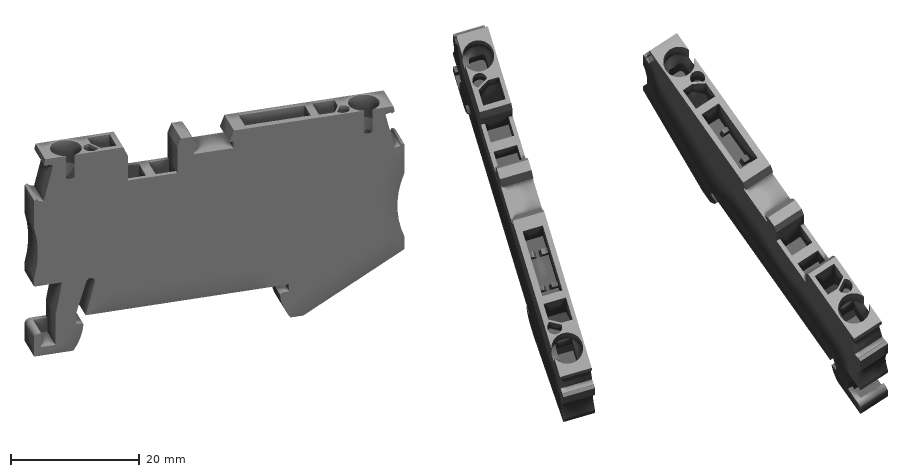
import cadquery as cq
import math

THICKNESS = 5.15
LENGTH = 60.4
HEIGHT = 35.25
HALF_X = THICKNESS / 2
END_Y = LENGTH / 2

END_PROFILE = [
    (28.4, HEIGHT),
    (28.62, 34.3),
    (28.2, 33.95),
    (27.95, 34.2),
    (27.1, 33.97),
    (28.65, 27.7),
    (29.5, 27.95),
    (29.7, 28.3),
    (END_Y, 28.1),
]

REAR_ARC_TOP, REAR_ARC_BOTTOM, REAR_ARC_DEPTH = 22.9, 11.5, 1.15
FRONT_ARC_TOP, FRONT_ARC_BOTTOM, FRONT_ARC_DEPTH = 23.1, 14.25, 0.6

REAR_CORNER_Z = 9.2
REAR_FOOT_Y = 13.7
RAIL_SEAT_Z = 6.03
HOOK_TOP_Z = 4.75
HOOK_TIP_Z = 4.5
REAR_HOOK = {"root": 11.4, "shoulder": 10.5, "tip": 9.87, "bulge": (10.52, 1.95), "toe": 11.6}
SPRING_HOOK = {"root": -23.4, "shoulder": -22.75, "tip": -22.15, "bulge": (-22.67, 2.1), "toe": -23.8}
SPRING_SLOT_SEAT_Y = -21.8
SPRING_SLOT_INNER = (-20.35, 11.6)
SPRING_SLOT_CROWN = (-20.95, 12.6)
SPRING_SLOT_OUTER = (-21.75, 11.9)
SPRING_SLOT_FOOT_Z = 6.5
SPRING_BACK_Y = -26.73
SPRING_BACK_BEND_Z = 6.8
SPRING_BACK_TOP_Y = -25.64
SPRING_TOP_Z = 12.6
RELEASE_TAB_Z = 4.03
RELEASE_TAB_RADIUS = 0.93

TAB_SLOT_SIDE_WALL = 0.8
TAB_SLOT_LIP = 1.15
TAB_SLOT_DEPTH = 2.5

MARKER_FLOOR_Z = 32.1
MARKER_LIP_Z = 33.3
STEP_FLOOR_Z = 29.15
STEP_REAR_Y = -6.85
STEP_FRONT_Y = -14.9
TOP_OPENINGS = [
    (2.4, HEIGHT),
    (1.65, MARKER_LIP_Z),
    (2.3, MARKER_LIP_Z),
    (2.3, MARKER_FLOOR_Z),
    (-4.15, MARKER_FLOOR_Z),
    (-4.15, MARKER_LIP_Z),
    (-3.55, MARKER_LIP_Z),
    (-3.55, 33.5),
    (-4.5, HEIGHT),
    (-6.25, HEIGHT),
    (STEP_REAR_Y, 33.75),
    (STEP_REAR_Y, STEP_FLOOR_Z),
    (STEP_FRONT_Y, STEP_FLOOR_Z),
    (STEP_FRONT_Y, 33.6),
    (-15.65, HEIGHT),
]

GUIDE_ANGLE = 62.0

ENTRY_X, ENTRY_Y = 0.2, 24.3
ENTRY_RADIUS = 2.48
ENTRY_BORE_DEPTH = 4.0
ENTRY_CONE_DEPTH = 2.2
ENTRY_THROAT_RADIUS = 1.3
WIRE_HOLE_X = (-1.19, 1.55)
WIRE_HOLE_Y = (22.15, 25.6)
WIRE_HOLE_CORNER = 0.7
WIRE_HOLE_DEPTH = 6.0
WIRE_RAMP_FOOT_Y = 22.9

RELEASE_X = (-1.92, 1.73)
RELEASE_Y = (16.5, 20.16)
RELEASE_CUT_X = -0.1
RELEASE_CUT_Y = 19.07
RELEASE_SHALLOW_DEPTH = 4.0

TEST_X, TEST_Y = 1.1, 20.5
TEST_RADIUS = 1.17
TEST_DEPTH = 5.0
TEST_WALL = 0.3

BRIDGE_X = (-1.73, 1.55)
BRIDGE_Y = (4.47, 15.24)
BRIDGE_DEPTH = 8.0
BAR_Y_RANGES = [(6.66, 7.57), (12.32, 13.05)]
BAR_HEIGHT = 1.5
BAR_TOP_GAP = 1.28
BAR_BASE_GAP = 0.5

STEP_POCKET_HALF_X = 1.92
STEP_POCKET_Y_RANGES = [(-10.2, STEP_REAR_Y), (STEP_FRONT_Y, -11.75)]
STEP_POCKET_DEPTH = 6.0


def block(x_range, y_range, z_range):
    size = [high - low for low, high in (x_range, y_range, z_range)]
    corner = (x_range[0], y_range[0], z_range[0])
    return cq.Workplane("XY").box(*size, centered=False).translate(corner)


def make_body():
    """The side outline, extruded through the full thickness."""
    rear_arc_middle = (END_Y - REAR_ARC_DEPTH, (REAR_ARC_TOP + REAR_ARC_BOTTOM) / 2)
    front_arc_middle = (-END_Y + FRONT_ARC_DEPTH, (FRONT_ARC_TOP + FRONT_ARC_BOTTOM) / 2)
    tab_corner = (-END_Y + RELEASE_TAB_RADIUS, RELEASE_TAB_Z - RELEASE_TAB_RADIUS)
    tab_diagonal = RELEASE_TAB_RADIUS * math.sqrt(0.5)
    front_profile = [(-y, z) for y, z in reversed(END_PROFILE)]

    outline = cq.Workplane("YZ", origin=(-HALF_X, 0, 0)).polyline(END_PROFILE)
    outline = (
        outline.lineTo(END_Y, REAR_ARC_TOP)
        .threePointArc(rear_arc_middle, (END_Y, REAR_ARC_BOTTOM))
        .lineTo(END_Y, REAR_CORNER_Z)
        .lineTo(REAR_FOOT_Y, 0)
        .lineTo(REAR_HOOK["toe"], 0)
        .threePointArc(REAR_HOOK["bulge"], (REAR_HOOK["tip"], HOOK_TIP_Z))
        .lineTo(REAR_HOOK["shoulder"], HOOK_TOP_Z)
        .lineTo(REAR_HOOK["root"], HOOK_TOP_Z)
        .lineTo(REAR_HOOK["root"], RAIL_SEAT_Z)
    )
    outline = (
        outline.lineTo(SPRING_SLOT_SEAT_Y, RAIL_SEAT_Z)
        .lineTo(*SPRING_SLOT_INNER)
        .threePointArc(SPRING_SLOT_CROWN, SPRING_SLOT_OUTER)
        .lineTo(SPRING_HOOK["root"], SPRING_SLOT_FOOT_Z)
        .lineTo(SPRING_HOOK["root"], HOOK_TOP_Z)
        .lineTo(SPRING_HOOK["shoulder"], HOOK_TOP_Z)
        .lineTo(SPRING_HOOK["tip"], HOOK_TIP_Z)
        .threePointArc(SPRING_HOOK["bulge"], (SPRING_HOOK["toe"], 0))
        .lineTo(-END_Y, 0)
        .lineTo(-END_Y, tab_corner[1])
        .threePointArc(
            (tab_corner[0] - tab_diagonal, tab_corner[1] + tab_diagonal),
            (tab_corner[0], RELEASE_TAB_Z),
        )
        .lineTo(SPRING_BACK_Y, RELEASE_TAB_Z)
        .lineTo(SPRING_BACK_Y, SPRING_BACK_BEND_Z)
        .lineTo(SPRING_BACK_TOP_Y, SPRING_TOP_Z)
    )
    outline = (
        outline.lineTo(-END_Y, SPRING_TOP_Z)
        .lineTo(-END_Y, FRONT_ARC_BOTTOM)
        .threePointArc(front_arc_middle, (-END_Y, FRONT_ARC_TOP))
    )
    for point in front_profile + TOP_OPENINGS[::-1]:
        outline = outline.lineTo(*point)
    return outline.close().extrude(THICKNESS)


def make_wire_entry():
    """Bore and cone, then a rounded hole with a ramp at the foot of its inner wall."""
    bore_floor = HEIGHT - ENTRY_BORE_DEPTH
    cone_floor = bore_floor - ENTRY_CONE_DEPTH
    profile = [
        (0, HEIGHT),
        (ENTRY_RADIUS, HEIGHT),
        (ENTRY_RADIUS, bore_floor),
        (ENTRY_THROAT_RADIUS, cone_floor),
        (0, cone_floor),
    ]
    funnel = cq.Workplane("XZ").polyline(profile).close().revolve(360, (0, 0, 0), (0, 1, 0))
    funnel = funnel.translate((ENTRY_X, ENTRY_Y, 0))
    (left, right), (near, far) = WIRE_HOLE_X, WIRE_HOLE_Y
    hole_floor = bore_floor - WIRE_HOLE_DEPTH
    ramp_top = hole_floor + (WIRE_RAMP_FOOT_Y - near) * math.tan(math.radians(GUIDE_ANGLE))
    side = [
        (near, bore_floor),
        (near, ramp_top),
        (WIRE_RAMP_FOOT_Y, hole_floor),
        (far, hole_floor),
        (far, bore_floor),
    ]
    hole = cq.Workplane("YZ", origin=(left, 0, 0)).polyline(side).close().extrude(right - left)
    hole = hole.edges("|Z and >Y").fillet(WIRE_HOLE_CORNER)
    return funnel.union(hole)


def make_release_pocket():
    """Pocket with one cut corner, whose floor falls steeply toward the middle of the part."""
    (left, right), (near, far) = RELEASE_X, RELEASE_Y
    shallow_z = HEIGHT - RELEASE_SHALLOW_DEPTH
    deep_z = shallow_z - (far - near) * math.tan(math.radians(GUIDE_ANGLE))
    plan = [(left, near), (right, near), (right, RELEASE_CUT_Y), (RELEASE_CUT_X, far), (left, far)]
    prism = cq.Workplane("XY", origin=(0, 0, deep_z)).polyline(plan).close().extrude(HEIGHT - deep_z)
    side = [(near, deep_z), (far, shallow_z), (far, HEIGHT), (near, HEIGHT)]
    wedge = cq.Workplane("YZ", origin=(left, 0, 0)).polyline(side).close().extrude(right - left)
    return prism.intersect(wedge)


def make_test_hole():
    """Round hole with a flat parallel to the cut corner of the release pocket."""
    hole = (
        cq.Workplane("XY", origin=(0, 0, HEIGHT - TEST_DEPTH))
        .center(TEST_X, TEST_Y)
        .circle(TEST_RADIUS)
        .extrude(TEST_DEPTH)
    )
    cut_run = RELEASE_X[1] - RELEASE_CUT_X
    cut_drop = RELEASE_Y[1] - RELEASE_CUT_Y
    wall_in_y = TEST_WALL * math.hypot(cut_run, cut_drop) / cut_run
    slope = cut_drop / cut_run
    left, right = TEST_X - 2 * TEST_RADIUS, TEST_X + 2 * TEST_RADIUS

    def wall_edge(x):
        return RELEASE_Y[1] + wall_in_y - slope * (x - RELEASE_CUT_X)

    top_y = TEST_Y + 2 * TEST_RADIUS
    keep = (
        cq.Workplane("XY", origin=(0, 0, HEIGHT - TEST_DEPTH))
        .polyline([(left, wall_edge(left)), (right, wall_edge(right)), (right, top_y), (left, top_y)])
        .close()
        .extrude(TEST_DEPTH)
    )
    return hole.intersect(keep)


def make_bridge_pocket():
    """Rectangular pocket less the pairs of bars that reach in from its long walls."""
    floor_z = HEIGHT - BRIDGE_DEPTH
    bar_top_z = floor_z + BAR_HEIGHT
    left, right = BRIDGE_X
    middle = (left + right) / 2
    pocket = block(BRIDGE_X, BRIDGE_Y, (floor_z, HEIGHT))
    for near, far in BAR_Y_RANGES:
        for wall, side in ((left, -1), (right, 1)):
            profile = [
                (wall, floor_z),
                (wall, bar_top_z),
                (middle + side * BAR_TOP_GAP / 2, bar_top_z),
                (middle + side * BAR_BASE_GAP / 2, floor_z),
            ]
            bar = cq.Workplane("XZ", origin=(0, far, 0)).polyline(profile).close().extrude(far - near)
            pocket = pocket.cut(bar)
    return pocket


def make_tab_slot():
    """Slot behind the rounded lip of the release tab, leaving a wall on the -X side only."""
    return block(
        (-HALF_X + TAB_SLOT_SIDE_WALL, HALF_X),
        (-END_Y + TAB_SLOT_LIP, SPRING_BACK_Y),
        (RELEASE_TAB_Z - TAB_SLOT_DEPTH, RELEASE_TAB_Z),
    )


result = make_body().cut(make_tab_slot())

for make_cut in (make_wire_entry, make_release_pocket, make_test_hole):
    cut = make_cut()
    result = result.cut(cut).cut(cut.mirror("XZ"))

result = result.cut(make_bridge_pocket())

for y_range in STEP_POCKET_Y_RANGES:
    pocket_x = (-STEP_POCKET_HALF_X, STEP_POCKET_HALF_X)
    result = result.cut(block(pocket_x, y_range, (STEP_FLOOR_Z - STEP_POCKET_DEPTH, STEP_FLOOR_Z)))